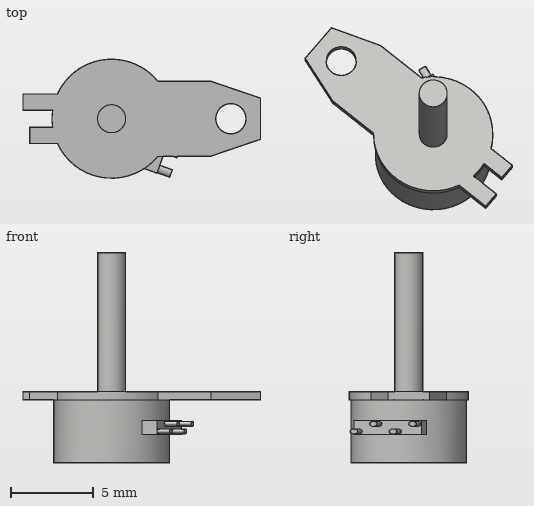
import cadquery as cq

body_radius = 3.5
body_height = 3.8
flange_radius = 3.6
flange_thickness = 0.5
shaft_radius = 0.85
shaft_length = 8.4

overall_length = 14.35
arm_tip_x = 9.0
arm_taper_start_x = 6.0
arm_half_width = 2.27
arm_tip_half_width = 1.25
arm_hole_x = 7.2
arm_hole_radius = 0.9

long_prong_reach = overall_length - arm_tip_x
short_prong_reach = 4.95
prong_width = 1.0
prong_gap = 1.0

connector_angle = -20
block_width = 4.32
block_face_distance = 3.7
block_bottom_z = 1.71
block_height = 0.86

pin_tip_distance = 4.5
pin_width = 0.49
pin_thickness = 0.3
pin_pitch = 2.51
row_stagger = pin_pitch / 2
lower_row_z = 1.9
upper_row_z = 2.35


def make_arm():
    """Tapered arm running from the shaft axis to the tip, resting on the body top."""
    return (
        cq.Workplane("XY")
        .workplane(offset=body_height)
        .moveTo(0, -arm_half_width)
        .lineTo(arm_taper_start_x, -arm_half_width)
        .lineTo(arm_tip_x, -arm_tip_half_width)
        .lineTo(arm_tip_x, arm_tip_half_width)
        .lineTo(arm_taper_start_x, arm_half_width)
        .lineTo(0, arm_half_width)
        .close()
        .extrude(flange_thickness)
    )


def make_prong(reach, side):
    """Rectangular prong out to X = -reach; side is +1 or -1 along Y."""
    center_y = side * (prong_gap + prong_width) / 2
    return (
        cq.Workplane("XY")
        .workplane(offset=body_height)
        .center(-reach / 2, center_y)
        .rect(reach, prong_width)
        .extrude(flange_thickness)
    )


def make_flange():
    disc = cq.Workplane("XY").workplane(offset=body_height).circle(flange_radius).extrude(flange_thickness)
    arm_hole = (
        cq.Workplane("XY")
        .workplane(offset=body_height)
        .center(arm_hole_x, 0)
        .circle(arm_hole_radius)
        .extrude(flange_thickness)
    )
    flange = disc.union(make_arm())
    flange = flange.union(make_prong(long_prong_reach, 1))
    flange = flange.union(make_prong(short_prong_reach, -1))
    return flange.cut(arm_hole)


def make_pin(offset_y, center_z):
    """Elliptical pin along +X, starting inside the connector block."""
    return (
        cq.Workplane("YZ")
        .center(offset_y, center_z)
        .ellipse(pin_width / 2, pin_thickness / 2)
        .extrude(pin_tip_distance)
    )


def make_connector():
    """Block and pins built facing +X, then turned to the connector direction."""
    connector = (
        cq.Workplane("XY")
        .workplane(offset=block_bottom_z)
        .center(block_face_distance / 2, 0)
        .rect(block_face_distance, block_width)
        .extrude(block_height)
    )
    for row_z, row_shift in ((lower_row_z, -row_stagger / 2), (upper_row_z, row_stagger / 2)):
        for side in (-1, 1):
            connector = connector.union(make_pin(row_shift + side * pin_pitch / 2, row_z))
    return connector.rotate((0, 0, 0), (0, 0, 1), connector_angle)


body = cq.Workplane("XY").circle(body_radius).extrude(body_height)
shaft = (
    cq.Workplane("XY")
    .workplane(offset=body_height + flange_thickness)
    .circle(shaft_radius)
    .extrude(shaft_length)
)

result = body.union(make_flange()).union(shaft).union(make_connector())